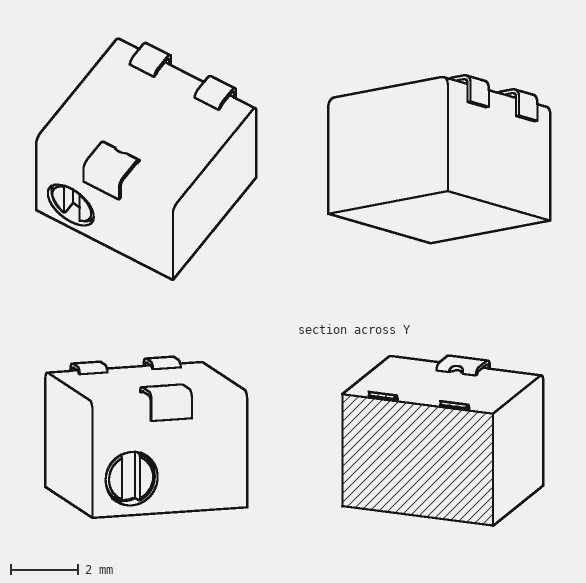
import cadquery as cq
import math

overall_length = 4.95
overall_height = 3.71

body_width = 4.83
body_length = 4.575
body_height = 3.525
body_edge_radius = 0.248

sheet = 0.12
bend_radius = 0.255
inner_radius = bend_radius - sheet
leg_height = 0.84
front_terminal_width = 1.255
front_terminal_reach = 1.145
rear_terminal_width = 0.86
rear_terminal_reach = 0.945
rear_terminal_offset = 1.145
notch_radius = 0.245
notch_depth = 0.165

screw_x = 1.225 - body_width / 2
screw_z = 1.115
recess_radius = 0.81
screw_radius = 0.765
screw_chamfer = 0.08
screw_setback = 0.055
slot_width = 0.565
slot_depth = 0.515
gap_extra_depth = 0.075
recess_depth = screw_setback + slot_depth + gap_extra_depth

front_y = -body_length / 2
outer_y = -overall_length / 2


def make_body():
    """Block with its two long top edges rounded, standing on Z = 0."""
    block = cq.Workplane("XY").box(body_width, body_length, body_height, centered=(True, True, False))
    return block.edges("|X and >Z").fillet(body_edge_radius)


def make_terminal(width, reach, center_x):
    """Front terminal: a leg, a flat top and a tip curling down into the housing.

    The reach runs from the outer face of the leg to where the tip meets the housing top.
    """
    top = overall_height
    bend_z = top - bend_radius
    leg_end = top - leg_height
    tip_extent = math.sqrt(bend_radius**2 - (body_height - bend_z) ** 2)
    bend_y = outer_y + bend_radius
    tip_y = outer_y + reach - tip_extent
    diagonal = math.sqrt(0.5)
    profile = (
        cq.Workplane("YZ", origin=(center_x - width / 2, 0, 0))
        .moveTo(outer_y, leg_end)
        .lineTo(outer_y, bend_z)
        .threePointArc((bend_y - bend_radius * diagonal, bend_z + bend_radius * diagonal), (bend_y, top))
        .lineTo(tip_y, top)
        .threePointArc(
            (tip_y + bend_radius * diagonal, bend_z + bend_radius * diagonal), (tip_y + bend_radius, bend_z)
        )
        .lineTo(tip_y + inner_radius, bend_z)
        .threePointArc((tip_y + inner_radius * diagonal, bend_z + inner_radius * diagonal), (tip_y, top - sheet))
        .lineTo(bend_y, top - sheet)
        .threePointArc(
            (bend_y - inner_radius * diagonal, bend_z + inner_radius * diagonal), (outer_y + sheet, bend_z)
        )
        .lineTo(outer_y + sheet, leg_end)
        .close()
    )
    return profile.extrude(width)


def make_front_terminal():
    """Center terminal with a round notch in its tip."""
    notch_y = outer_y + front_terminal_reach - notch_depth + notch_radius
    notch = (
        cq.Workplane("XY", origin=(0, notch_y, body_height))
        .circle(notch_radius)
        .extrude(overall_height - body_height)
    )
    return make_terminal(front_terminal_width, front_terminal_reach, 0).cut(notch)


def make_rear_terminal(center_x):
    terminal = make_terminal(rear_terminal_width, rear_terminal_reach, center_x)
    return terminal.mirror("XZ")


def make_recess():
    """Round pocket around the screw."""
    face = cq.Workplane("XZ", origin=(screw_x, front_y, screw_z))
    return face.circle(recess_radius).extrude(-recess_depth)


def make_screw():
    """Chamfered screw with a vertical slot; its surrounding gap runs deeper than the slot."""
    floor = cq.Workplane("XZ", origin=(screw_x, front_y + recess_depth, screw_z))
    head = floor.circle(screw_radius).extrude(slot_depth + gap_extra_depth).faces("<Y").chamfer(screw_chamfer)
    slot = floor.workplane(offset=gap_extra_depth).rect(slot_width, 2 * screw_radius).extrude(slot_depth)
    return head.cut(slot)


result = make_body().cut(make_recess()).union(make_screw()).union(make_front_terminal())
for side in (-1, 1):
    result = result.union(make_rear_terminal(side * rear_terminal_offset))